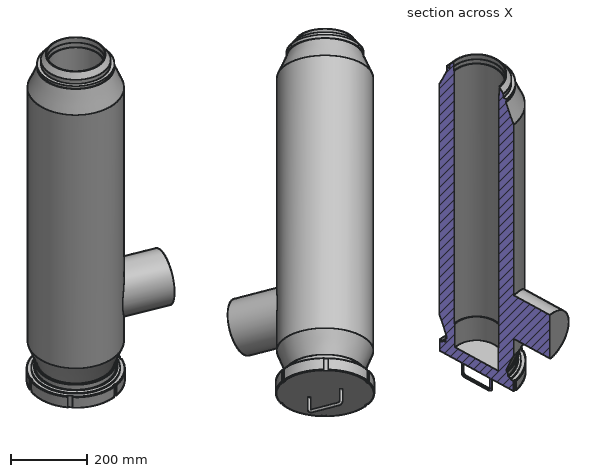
import cadquery as cq
import math

total_height = 1091.0
clamp_bottom = 46.0
clamp_top = 83.0
collar_top = 86.0
lip_bottom = 90.0
lip_top = 105.0
lower_cone_base = 107.0
body_bottom = 172.0
body_top = 985.0
flange_bottom = 1051.0
flange_top = 1060.0
rim_chamfer_base = 1074.0
rim_chamfer_top = 1090.0

body_diameter = 254.0
clamp_diameter = 260.0
collar_diameter = 233.0
shoulder_diameter = 220.0
lip_diameter = 213.0
lower_neck_diameter = 204.0
flange_diameter = 204.0
upper_neck_diameter = 200.0
spigot_diameter = 183.0
rim_diameter = 157.0

socket_diameter = 154.0
socket_depth = 16.0
step_diameter = 153.0
step_depth = 31.0
bore_diameter = 150.0
sump_diameter = 145.0
sump_top = body_bottom
bore_floor = lip_bottom

clamp_chamfer = 2.0
notch_count = 6
first_notch_angle = 90
notch_width = 12.0
notch_depth = 4.0

branch_diameter = 155.0
branch_reach = 250.0
branch_height = 308.0

rod_diameter = 8.0
handle_span = 96.0
bend_radius = 8.0
rod_embed = 11.0


def body_of_revolution():
    """Double-tapered body with a stepped upper spigot and a lower lip and clamp ring."""
    clamp_radius = clamp_diameter / 2
    profile = [
        (0, clamp_bottom),
        (clamp_radius - clamp_chamfer, clamp_bottom),
        (clamp_radius, clamp_bottom + clamp_chamfer),
        (clamp_radius, clamp_top - clamp_chamfer),
        (clamp_radius - clamp_chamfer, clamp_top),
        (collar_diameter / 2, clamp_top),
        (collar_diameter / 2, collar_top),
        (shoulder_diameter / 2, lip_bottom),
        (lip_diameter / 2, lip_bottom),
        (lip_diameter / 2, lip_top),
        (lower_neck_diameter / 2, lip_top),
        (lower_neck_diameter / 2, lower_cone_base),
        (body_diameter / 2, body_bottom),
        (body_diameter / 2, body_top),
        (upper_neck_diameter / 2, flange_bottom),
        (flange_diameter / 2, flange_bottom),
        (flange_diameter / 2, flange_top),
        (spigot_diameter / 2, flange_top),
        (spigot_diameter / 2, rim_chamfer_base),
        (rim_diameter / 2, rim_chamfer_top),
        (rim_diameter / 2, total_height),
        (0, total_height),
    ]
    return cq.Workplane("XZ").polyline(profile).close().revolve(360, (0, 0, 0), (0, 1, 0))


def side_branch():
    """Round stub leaving the body toward +Y."""
    return (
        cq.Workplane("XZ", origin=(0, 0, branch_height))
        .circle(branch_diameter / 2)
        .extrude(-branch_reach)
    )


def stepped_bore():
    """Blind bore with two small steps below the rim and a narrower sump at its base."""
    profile = [
        (0, bore_floor),
        (sump_diameter / 2, bore_floor),
        (sump_diameter / 2, sump_top),
        (bore_diameter / 2, sump_top),
        (bore_diameter / 2, total_height - step_depth),
        (step_diameter / 2, total_height - step_depth),
        (step_diameter / 2, total_height - socket_depth),
        (socket_diameter / 2, total_height - socket_depth),
        (socket_diameter / 2, total_height),
        (0, total_height),
    ]
    return cq.Workplane("XZ").polyline(profile).close().revolve(360, (0, 0, 0), (0, 1, 0))


def clamp_notches():
    """Axial grip notches spaced evenly around the clamp ring, starting at +Y."""
    return (
        cq.Workplane("XY", origin=(0, 0, clamp_bottom))
        .polarArray(clamp_diameter / 2, first_notch_angle, 360, notch_count)
        .rect(2 * notch_depth, notch_width)
        .extrude(clamp_top - clamp_bottom)
    )


def bail_handle():
    """U-shaped rod below the clamp, lying in the YZ plane."""
    half_span = handle_span / 2
    rod_top = clamp_bottom + rod_embed
    rod_low = rod_diameter / 2
    corner = bend_radius * (1 - math.sqrt(0.5))
    path = (
        cq.Workplane("YZ")
        .moveTo(-half_span, rod_top)
        .lineTo(-half_span, rod_low + bend_radius)
        .threePointArc((-half_span + corner, rod_low + corner), (-half_span + bend_radius, rod_low))
        .lineTo(half_span - bend_radius, rod_low)
        .threePointArc((half_span - corner, rod_low + corner), (half_span, rod_low + bend_radius))
        .lineTo(half_span, rod_top)
    )
    return (
        cq.Workplane("XY", origin=(0, -half_span, rod_top))
        .circle(rod_diameter / 2)
        .sweep(path)
    )


result = (
    body_of_revolution()
    .union(side_branch())
    .cut(stepped_bore())
    .cut(clamp_notches())
    .union(bail_handle())
)